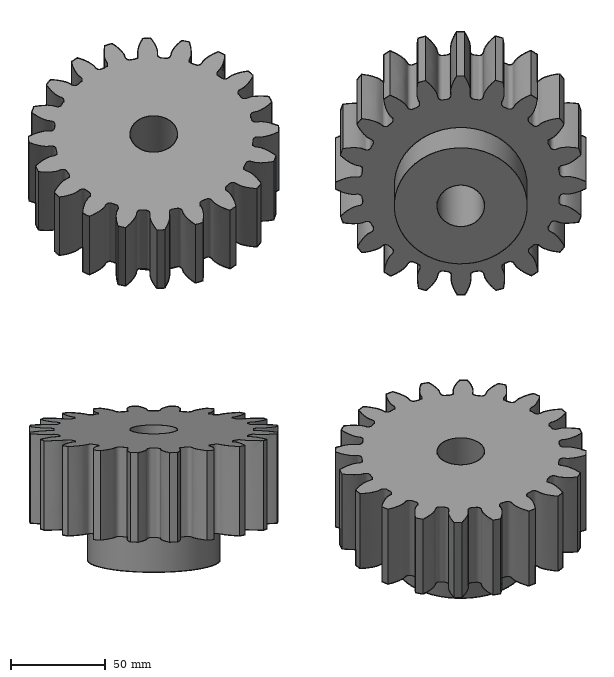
import cadquery as cq
import math

module = 6.0
tooth_count = 20
pressure_angle = math.radians(20)
face_width = 48.0
addendum = module
dedendum = 1.25 * module
root_fillet = 0.38 * module

hub_diameter = 70.0
hub_length = 22.0
bore_diameter = 25.0

pitch_radius = module * tooth_count / 2
base_radius = pitch_radius * math.cos(pressure_angle)
tip_radius = pitch_radius + addendum
root_radius = pitch_radius - dedendum

pitch_step = 2 * math.pi / tooth_count
half_pitch_step = pitch_step / 2
pitch_half_angle = pitch_step / 4

flank_step_count = 8

first_tooth_angle = half_pitch_step


def involute(angle):
    return math.tan(angle) - angle


def tooth_half_angle(radius):
    """Half the angular thickness of a tooth at a radius on its involute flank."""
    local_pressure_angle = math.acos(min(1.0, base_radius / radius))
    return pitch_half_angle + involute(pressure_angle) - involute(local_pressure_angle)


def polar(radius, angle):
    return (radius * math.cos(angle), radius * math.sin(angle))


base_half_angle = tooth_half_angle(base_radius)
fillet_center_radius = root_radius + root_fillet
fillet_angle = math.asin(root_fillet / fillet_center_radius)
fillet_top_radius = fillet_center_radius * math.cos(fillet_angle)
fillet_root_angle = base_half_angle + fillet_angle


def flank_points(tooth_angle, side):
    """Points from the top of the root fillet up the involute to the tip; side is -1 or +1."""
    points = [polar(fillet_top_radius, tooth_angle + side * base_half_angle)]
    roll_end = math.sqrt((tip_radius / base_radius) ** 2 - 1)
    for i in range(flank_step_count + 1):
        roll = roll_end * i / flank_step_count
        radius = base_radius * math.sqrt(1 + roll**2)
        points.append(polar(radius, tooth_angle + side * tooth_half_angle(radius)))
    return points


def fillet_middle(tooth_angle, side):
    """Point halfway along the root fillet."""
    center_x, center_y = polar(fillet_center_radius, tooth_angle + side * fillet_root_angle)
    inward = tooth_angle + side * fillet_root_angle + math.pi
    toward_flank = tooth_angle + side * (base_half_angle - math.pi / 2)
    mean_x = math.cos(inward) + math.cos(toward_flank)
    mean_y = math.sin(inward) + math.sin(toward_flank)
    reach = root_fillet / math.hypot(mean_x, mean_y)
    return (center_x + reach * mean_x, center_y + reach * mean_y)


def add_tooth(outline, tooth_angle):
    """Add one tooth with its root fillets and the root land after it, going counterclockwise."""
    rising = flank_points(tooth_angle, -1)
    falling = flank_points(tooth_angle, 1)[::-1]
    next_root_angle = tooth_angle + pitch_step - fillet_root_angle
    return (
        outline.threePointArc(fillet_middle(tooth_angle, -1), rising[0])
        .spline(rising[1:], includeCurrent=True)
        .threePointArc(polar(tip_radius, tooth_angle), falling[0])
        .spline(falling[1:], includeCurrent=True)
        .threePointArc(
            fillet_middle(tooth_angle, 1),
            polar(root_radius, tooth_angle + fillet_root_angle),
        )
        .threePointArc(
            polar(root_radius, tooth_angle + half_pitch_step),
            polar(root_radius, next_root_angle),
        )
    )


def make_toothed_rim():
    start = polar(root_radius, first_tooth_angle - fillet_root_angle)
    outline = cq.Workplane("XY").workplane(offset=hub_length).moveTo(*start)
    for i in range(tooth_count):
        outline = add_tooth(outline, first_tooth_angle + i * pitch_step)
    return outline.close().extrude(face_width)


def make_hub():
    return cq.Workplane("XY").circle(hub_diameter / 2).extrude(hub_length)


def make_bore():
    return cq.Workplane("XY").circle(bore_diameter / 2).extrude(hub_length + face_width)


result = make_toothed_rim().union(make_hub()).cut(make_bore())